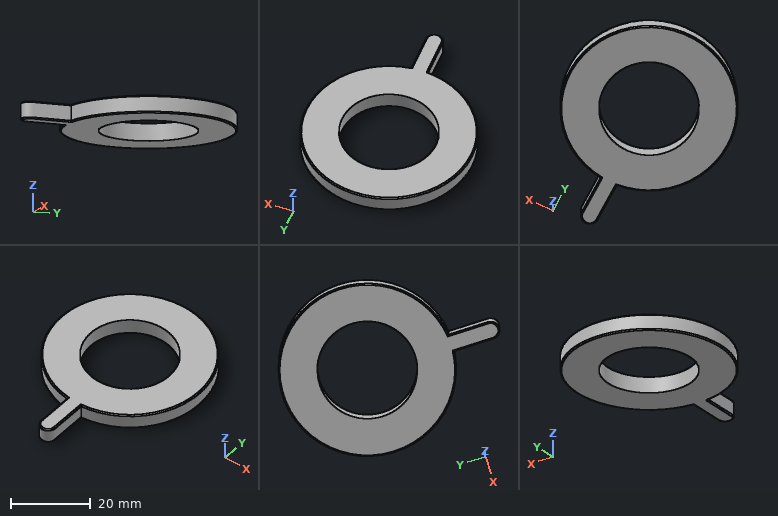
import cadquery as cq

total_length = 57.0
ring_diameter = 44.5
hole_diameter = 25.0
thickness = 4.5
handle_width = 4.5
edge_chamfer = 0.35

ring_radius = ring_diameter / 2
tip_radius = handle_width / 2
tip_center_y = ring_radius - total_length + tip_radius


def make_ring_disc():
    """Solid disc that forms the ring before the hole is cut."""
    return cq.Workplane("XY").circle(ring_radius).extrude(thickness)


def make_handle():
    """Straight bar from the disc centre to a fully rounded tip."""
    return (
        cq.Workplane("XY")
        .moveTo(-tip_radius, 0)
        .lineTo(-tip_radius, tip_center_y)
        .threePointArc((0, tip_center_y - tip_radius), (tip_radius, tip_center_y))
        .lineTo(tip_radius, 0)
        .close()
        .extrude(thickness)
    )


def make_hole():
    """Plain through hole with sharp rims."""
    return cq.Workplane("XY").circle(hole_diameter / 2).extrude(thickness)


body = make_ring_disc().union(make_handle()).clean()
body = body.faces("<Z or >Z").edges().chamfer(edge_chamfer)
result = body.cut(make_hole())